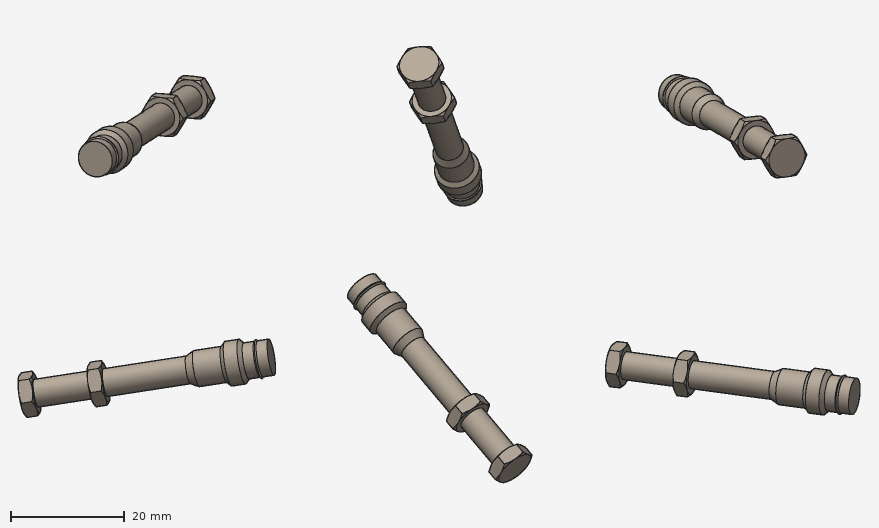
import cadquery as cq
import math

length = 45.0

shank_diameter = 5.0
shank_radius = shank_diameter / 2
hex_sides = 6
hex_across_flats = 7.0
hex_thickness = 2.5
nut_start = 12.5
hex_chamfer_angle = 30.0
hex_clearance = 0.05

body_radius = 3.25
taper_start = 30.0
taper_length = 1.5

collar_radius = 4.0
collar_start = 36.5
collar_width = 4.0
collar_bevel = collar_radius - body_radius

ring_radius = 3.5
ring_center = 42.75
ring_half_width = ring_radius - body_radius


def revolve_profile(points):
    """Revolve (radius, distance from the head end) points about the Y axis."""
    profile = cq.Workplane("XY").polyline([(radius, -distance) for radius, distance in points]).close()
    return profile.revolve(360, (0, 0, 0), (0, 1, 0))


def stepped_rod():
    collar_end = collar_start + collar_width
    return revolve_profile([
        (0, 0),
        (shank_radius, 0),
        (shank_radius, taper_start),
        (body_radius, taper_start + taper_length),
        (body_radius, collar_start),
        (collar_radius, collar_start + collar_bevel),
        (collar_radius, collar_end - collar_bevel),
        (body_radius, collar_end),
        (body_radius, ring_center - ring_half_width),
        (ring_radius, ring_center),
        (body_radius, ring_center + ring_half_width),
        (body_radius, length),
        (0, length),
    ])


def chamfered_hex(start):
    """Hexagon with corners on the X axis and conical chamfers on both ends."""
    flat_radius = hex_across_flats / 2
    corner_radius = flat_radius / math.cos(math.pi / hex_sides)
    end = start + hex_thickness
    base = cq.Workplane("XZ", origin=(0, -start, 0))
    prism = base.polygon(hex_sides, 2 * corner_radius).extrude(hex_thickness)

    outer_radius = corner_radius + hex_clearance
    depth = (outer_radius - flat_radius) * math.tan(math.radians(hex_chamfer_angle))
    envelope = revolve_profile([
        (0, start),
        (flat_radius, start),
        (outer_radius, start + depth),
        (outer_radius, end - depth),
        (flat_radius, end),
        (0, end),
    ])
    return prism.intersect(envelope)


result = stepped_rod()
for hex_start in (0, nut_start):
    result = result.union(chamfered_hex(hex_start))